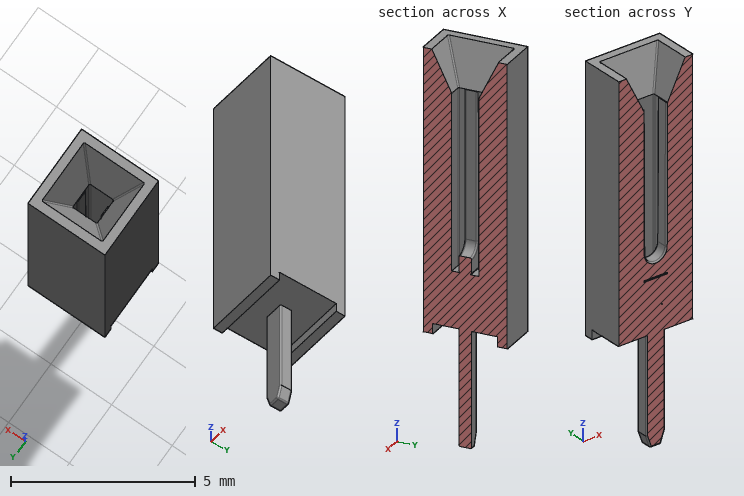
import cadquery as cq

HOUSING_WIDTH = 2.54
HOUSING_HEIGHT = 8.5
FOOT_HEIGHT = 0.3
FOOT_THICKNESS = 0.3

FUNNEL_MOUTH = 2.0
SOCKET_WIDTH = 0.8
FUNNEL_DEPTH = 1.2
CAVITY_CORNER_RADIUS = 0.04
SOCKET_FLOOR_Z = 2.0

CONTACT_THICKNESS = 0.4
FORK_WIDTH = 1.0
TROUGH_WIDTH = 0.70
FORK_MOUTH = 0.74
FORK_BASE_HEIGHT = 0.5
EDGE_RADIUS = 0.05

OVERALL_HEIGHT = 11.7
PIN_WIDTH = 0.64
PIN_TIP_WIDTH = 0.36
PIN_TIP_HEIGHT = 0.4

PIN_BOTTOM_Z = HOUSING_HEIGHT - OVERALL_HEIGHT
FUNNEL_BOTTOM_Z = HOUSING_HEIGHT - FUNNEL_DEPTH


def make_housing():
    """Square body with a channel along X between its two feet."""
    body = cq.Workplane("XY").rect(HOUSING_WIDTH, HOUSING_WIDTH).extrude(HOUSING_HEIGHT)
    channel_width = HOUSING_WIDTH - 2 * FOOT_THICKNESS
    channel = cq.Workplane("XY").rect(HOUSING_WIDTH, channel_width).extrude(FOOT_HEIGHT)
    return body.cut(channel)


def rounded_square(width):
    """Horizontal square outline with the cavity's corner rounding."""
    return cq.Sketch().rect(width, width).vertices().fillet(CAVITY_CORNER_RADIUS)


def make_cavity():
    """Pyramidal funnel that leads down into a blind square socket."""
    mouth = rounded_square(FUNNEL_MOUTH)
    throat = rounded_square(SOCKET_WIDTH)
    funnel = (
        cq.Workplane("XY")
        .placeSketch(
            throat.moved(cq.Location(cq.Vector(0, 0, FUNNEL_BOTTOM_Z))),
            mouth.moved(cq.Location(cq.Vector(0, 0, HOUSING_HEIGHT))),
        )
        .loft(ruled=True)
    )
    socket = (
        cq.Workplane("XY")
        .workplane(offset=SOCKET_FLOOR_Z)
        .placeSketch(throat)
        .extrude(FUNNEL_BOTTOM_Z - SOCKET_FLOOR_Z)
    )
    return funnel.union(socket)


def make_fork():
    """Two slightly splayed prongs partly embedded in the socket walls, joined by a half-round trough."""
    half_width = FORK_WIDTH / 2
    half_mouth = FORK_MOUTH / 2
    trough_radius = TROUGH_WIDTH / 2
    trough_center_z = SOCKET_FLOOR_Z + FORK_BASE_HEIGHT + trough_radius
    return (
        cq.Workplane("XZ")
        .moveTo(-half_width, SOCKET_FLOOR_Z)
        .lineTo(half_width, SOCKET_FLOOR_Z)
        .lineTo(half_width, FUNNEL_BOTTOM_Z)
        .lineTo(half_mouth, FUNNEL_BOTTOM_Z)
        .lineTo(trough_radius, trough_center_z)
        .threePointArc((0, trough_center_z - trough_radius), (-trough_radius, trough_center_z))
        .lineTo(-half_mouth, FUNNEL_BOTTOM_Z)
        .lineTo(-half_width, FUNNEL_BOTTOM_Z)
        .close()
        .extrude(CONTACT_THICKNESS / 2, both=True)
        .faces("<Y or >Y")
        .edges()
        .fillet(EDGE_RADIUS)
    )


def make_pin():
    """Flat pin with rounded edges, tapered in X at its lower end."""
    half_width = PIN_WIDTH / 2
    half_tip = PIN_TIP_WIDTH / 2
    taper_top_z = PIN_BOTTOM_Z + PIN_TIP_HEIGHT
    return (
        cq.Workplane("XZ")
        .moveTo(-half_tip, PIN_BOTTOM_Z)
        .lineTo(half_tip, PIN_BOTTOM_Z)
        .lineTo(half_width, taper_top_z)
        .lineTo(half_width, SOCKET_FLOOR_Z)
        .lineTo(-half_width, SOCKET_FLOOR_Z)
        .lineTo(-half_width, taper_top_z)
        .close()
        .extrude(CONTACT_THICKNESS / 2, both=True)
        .faces("<Y or >Y or <Z")
        .edges()
        .fillet(EDGE_RADIUS)
    )


result = make_housing().cut(make_cavity()).union(make_fork()).union(make_pin())